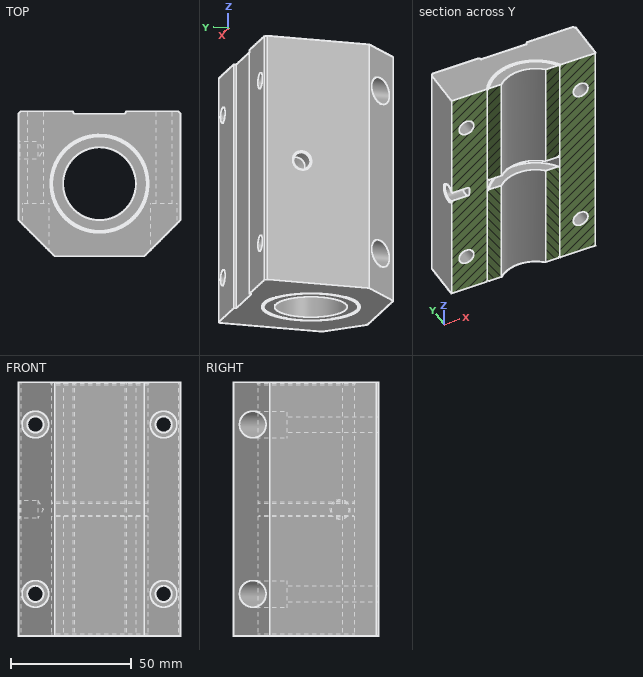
import cadquery as cq
import math

WIDTH = 67.0
DEPTH = 60.0
LENGTH = 105.0
FRONT_CHAMFER = 15.0
BACK_CHAMFER = 1.0

RELIEF_WIDTH = 21.0
RELIEF_DEPTH = 1.0
RELIEF_FLARE = 0.6

BUSHING_OUTER_DIAMETER = 40.0
BUSHING_BORE_DIAMETER = 30.0
BUSHING_LENGTH = 50.0
BUSHING_CHAMFER = 0.5

LEAD_IN_FLARE = 0.35
LEAD_IN_LENGTH = 1.0

BOLT_SPACING_X = 53.0
BOLT_SPACING_Z = 70.0
BOLT_HOLE_DIAMETER = 6.6
COUNTERBORE_DIAMETER = 11.0
COUNTERBORE_DEPTH = 22.0

PORT_OFFSET_Y = 14.0
PORT_DIAMETER = 7.2
PORT_MOUTH_DIAMETER = 8.2
PORT_DEPTH = 8.0
PORT_TIP_ANGLE = 118.0

HALF_WIDTH = WIDTH / 2
FRONT_Y = -DEPTH / 2
BACK_Y = DEPTH / 2


def make_block():
    """Extruded outline with chamfered corners and the relief in the back face."""
    relief_half = RELIEF_WIDTH / 2
    right_half = [
        (HALF_WIDTH - FRONT_CHAMFER, FRONT_Y),
        (HALF_WIDTH, FRONT_Y + FRONT_CHAMFER),
        (HALF_WIDTH, BACK_Y - BACK_CHAMFER),
        (HALF_WIDTH - BACK_CHAMFER, BACK_Y),
        (relief_half + RELIEF_FLARE, BACK_Y),
        (relief_half, BACK_Y - RELIEF_DEPTH),
    ]
    left_half = [(-x, y) for x, y in reversed(right_half)]
    outline = cq.Workplane("XY").polyline(right_half + left_half).close()
    return outline.extrude(LENGTH / 2, both=True)


def make_bore():
    """Through bore that holds the bushings, with a slight lead-in taper at both mouths."""
    radius = BUSHING_OUTER_DIAMETER / 2
    mouth_radius = radius + LEAD_IN_FLARE
    end = LENGTH / 2
    half_profile = [
        (0, -end),
        (mouth_radius, -end),
        (radius, -end + LEAD_IN_LENGTH),
        (radius, end - LEAD_IN_LENGTH),
        (mouth_radius, end),
        (0, end),
    ]
    return cq.Workplane("XZ").polyline(half_profile).close().revolve(360, (0, 0), (0, 1))


def make_bolt_holes():
    """Four through holes along Y with counterbores open to the front."""
    def drill(diameter, depth):
        front_plane = cq.Workplane("XZ", origin=(0, FRONT_Y, 0))
        centres = front_plane.rarray(BOLT_SPACING_X, BOLT_SPACING_Z, 2, 2)
        return centres.circle(diameter / 2).extrude(-depth)

    return drill(BOLT_HOLE_DIAMETER, DEPTH).union(drill(COUNTERBORE_DIAMETER, COUNTERBORE_DEPTH))


def make_grease_port():
    """Drilled hole along X with a chamfered mouth and a conical bottom."""
    radius = PORT_DIAMETER / 2
    mouth_radius = PORT_MOUTH_DIAMETER / 2
    tip_length = radius / math.tan(math.radians(PORT_TIP_ANGLE / 2))
    half_profile = [
        (0, 0),
        (0, mouth_radius),
        (mouth_radius - radius, radius),
        (PORT_DEPTH, radius),
        (PORT_DEPTH + tip_length, 0),
    ]
    mouth_plane = cq.Workplane("XZ", origin=(-HALF_WIDTH, PORT_OFFSET_Y, 0))
    return mouth_plane.polyline(half_profile).close().revolve(360, (0, 0), (1, 0))


def make_housing():
    """Block with all of its holes."""
    return make_block().cut(make_bore()).cut(make_bolt_holes()).cut(make_grease_port())


def make_bushing(bottom_z):
    """Plain sleeve with its outer edges chamfered at both ends."""
    sleeve = cq.Workplane("XY", origin=(0, 0, bottom_z)).circle(BUSHING_OUTER_DIAMETER / 2)
    sleeve = sleeve.extrude(BUSHING_LENGTH).faces("<Z or >Z").edges().chamfer(BUSHING_CHAMFER)
    bore = cq.Workplane("XY", origin=(0, 0, bottom_z)).circle(BUSHING_BORE_DIAMETER / 2)
    return sleeve.cut(bore.extrude(BUSHING_LENGTH))


housing = make_housing()

bushing_bottoms = [-LENGTH / 2, LENGTH / 2 - BUSHING_LENGTH]
bushings = [make_bushing(bottom_z) for bottom_z in bushing_bottoms]

result = cq.Compound.makeCompound([housing.val(), *[bushing.val() for bushing in bushings]])